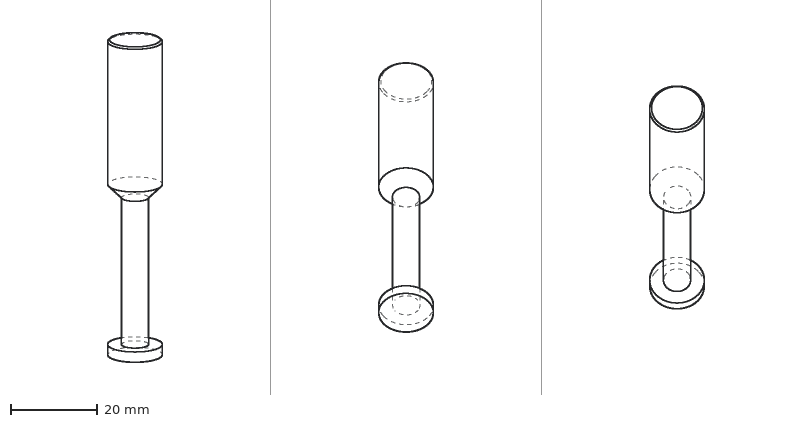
import cadquery as cq

total_length = 76.2
head_diameter = 12.7
stem_diameter = 6.3

flange_thickness = 2.5
cylinder_bottom = 41.2
top_chamfer = 0.45

head_radius = head_diameter / 2
stem_radius = stem_diameter / 2
shoulder_bottom = cylinder_bottom - (head_radius - stem_radius)

profile = [
    (0, 0),
    (head_radius, 0),
    (head_radius, flange_thickness),
    (stem_radius, flange_thickness),
    (stem_radius, shoulder_bottom),
    (head_radius, cylinder_bottom),
    (head_radius, total_length - top_chamfer),
    (head_radius - top_chamfer, total_length),
    (0, total_length),
]

result = cq.Workplane("XZ").polyline(profile).close().revolve(360, (0, 0, 0), (0, 1, 0))